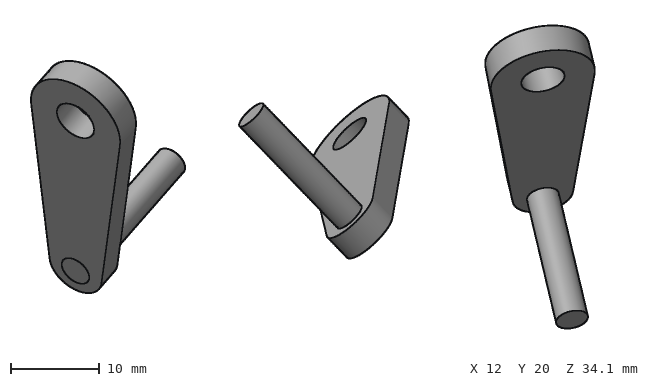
import cadquery as cq
import math

total_height = 34.15
head_diameter = 12.0
foot_diameter = 7.0
plate_thickness = 3.35
bore_diameter = 5.0
pin_diameter = 3.7
pin_length = 20.0
bore_to_pin = 25.0

head_radius = head_diameter / 2
foot_radius = foot_diameter / 2
foot_z = -(total_height - head_radius - foot_radius)
pin_z = -bore_to_pin

side_lean = math.asin((head_radius - foot_radius) / -foot_z)


def cylinder_along_y(diameter, length, z):
    """Cylinder running from the front face towards +Y."""
    return (
        cq.Workplane("XZ", origin=(0, 0, z))
        .circle(diameter / 2)
        .extrude(-length)
    )


def tangent_point(radius, centre_z):
    """Point on the +X side where a straight side meets an end arc."""
    return radius * math.cos(side_lean), centre_z - radius * math.sin(side_lean)


def make_arm():
    """Tapered arm with rounded ends, a bore in the head and a seat for the pin."""
    head_x, head_tangent_z = tangent_point(head_radius, 0)
    foot_x, foot_tangent_z = tangent_point(foot_radius, foot_z)
    plate = (
        cq.Workplane("XZ")
        .moveTo(-head_x, head_tangent_z)
        .threePointArc((0, head_radius), (head_x, head_tangent_z))
        .lineTo(foot_x, foot_tangent_z)
        .threePointArc((0, foot_z - foot_radius), (-foot_x, foot_tangent_z))
        .close()
        .extrude(-plate_thickness)
    )
    bore = cylinder_along_y(bore_diameter, plate_thickness, 0)
    pin_seat = cylinder_along_y(pin_diameter, plate_thickness, pin_z)
    return plate.cut(bore).cut(pin_seat)


def make_pin():
    """Handle pin, flush with the front face of the arm."""
    return cylinder_along_y(pin_diameter, pin_length, pin_z)


arm = make_arm()
pin = make_pin()

result = cq.Compound.makeCompound([arm.val(), pin.val()])